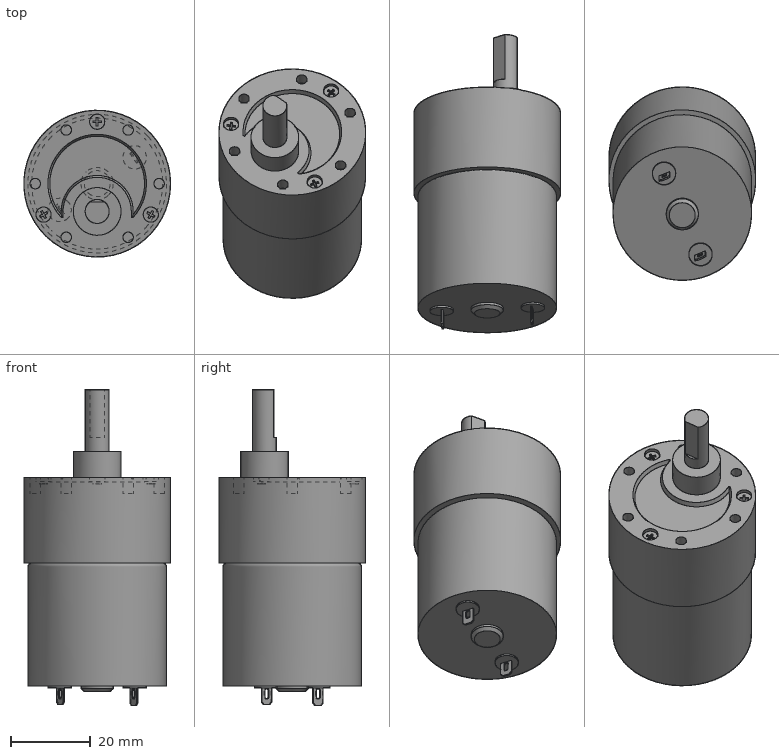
import cadquery as cq
import math

shaft_end_z = 22.0
boss_height = 6.6
gearbox_length = 21.5
motor_length = 30.8
terminal_drop = 4.9
short_terminal_drop = 4.7

gearbox_diameter = 36.8
motor_diameter = 34.8
motor_edge_fillet = 0.95
boss_diameter = 11.95
shaft_diameter = 6.0
shaft_offset_y = -7.0
flat_length = 11.95
flat_distance = 2.4

hole_circle_radius = 15.5
hole_count = 6
hole_diameter = 2.6
hole_depth = 3.95
screw_angles = (90, 210, 330)
screw_recess_diameter = 3.8
screw_recess_depth = 0.95
cross_length = 2.05
cross_width = 0.5
cross_depth = 0.7

pocket_radius = 12.35
pocket_depth = 1.1
wall_inset = 0.5
tongue_radius = 8.55
pocket_end_y = -8.5

bearing_diameter = 8.1
bearing_height = 1.4
bearing_chamfer = 0.8
terminal_angle = 35
terminal_radius = 11.25
blade_width = 2.9
blade_thickness = 0.4
blade_corner = 0.6
slot_width = 1.2
slot_top_drop = 0.6
slot_end_drop = 3.25
washer_diameter = 5.9
washer_radius = 11.5
washer_thickness = 0.5

gearbox_rear_z = -gearbox_length
motor_rear_z = gearbox_rear_z - motor_length


def cylinder(diameter, start_z, height, x=0, y=0):
    return cq.Workplane("XY", origin=(x, y, start_z)).circle(diameter / 2).extrude(height)


def polar(radius, angle):
    radians = math.radians(angle)
    return (radius * math.cos(radians), radius * math.sin(radians))


def make_motor():
    motor = cylinder(motor_diameter, motor_rear_z, motor_length)
    return motor.faces(">Z").edges().fillet(motor_edge_fillet)


def make_shaft():
    shaft = cylinder(shaft_diameter, 0, shaft_end_z, y=shaft_offset_y)
    flat_cut = (
        cq.Workplane("XY", origin=(0, shaft_offset_y + flat_distance, shaft_end_z - flat_length))
        .box(shaft_diameter, shaft_diameter, flat_length, centered=(True, False, False))
    )
    return shaft.cut(flat_cut)


def make_crescent():
    """Sloping bowl less the tongue around the boss and the blunt ends of the horns."""
    bowl = (
        cq.Workplane("XY").circle(pocket_radius)
        .workplane(offset=-pocket_depth).circle(pocket_radius - wall_inset)
        .loft(ruled=True)
    )
    draft_angle = math.degrees(math.atan(wall_inset / pocket_depth))
    tongue = (
        cq.Workplane("XY", origin=(0, shaft_offset_y, 0))
        .moveTo(tongue_radius, 0)
        .threePointArc((0, tongue_radius), (-tongue_radius, 0))
        .lineTo(-tongue_radius, -pocket_radius)
        .lineTo(tongue_radius, -pocket_radius)
        .close()
        .extrude(-pocket_depth, taper=-draft_angle)
    )
    tip_limit = (
        cq.Workplane("XY", origin=(0, pocket_end_y - pocket_radius, 0))
        .rect(2 * pocket_radius, 2 * pocket_radius)
        .extrude(-pocket_depth, taper=-draft_angle)
    )
    return bowl.cut(tongue).cut(tip_limit)


def make_screw_recess(angle):
    x, y = polar(hole_circle_radius, angle)
    recess = cylinder(screw_recess_diameter, -screw_recess_depth, screw_recess_depth, x, y)
    drive = (
        cq.Workplane("XY", origin=(x, y, -screw_recess_depth))
        .transformed(rotate=(0, 0, angle))
        .rect(cross_length, cross_width)
        .extrude(-cross_depth)
    )
    return recess.union(drive).union(drive.rotate((x, y, 0), (x, y, 1), 90))


def make_terminal(angle, drop):
    """One blade with its slot and washer, facing outward at the given angle."""
    blade = (
        cq.Workplane("XY", origin=(terminal_radius, 0, motor_rear_z))
        .rect(blade_thickness, blade_width)
        .extrude(-drop)
        .faces("<Z").edges("|X").chamfer(blade_corner)
    )
    slot_length = slot_end_drop - slot_top_drop
    slot_middle_z = motor_rear_z - (slot_top_drop + slot_end_drop) / 2
    slot = (
        cq.Workplane("YZ", origin=(terminal_radius, 0, slot_middle_z))
        .slot2D(slot_length, slot_width, 90)
        .extrude(blade_thickness, both=True)
    )
    washer = cylinder(washer_diameter, motor_rear_z, -washer_thickness, x=washer_radius)
    return blade.cut(slot).union(washer).rotate((0, 0, 0), (0, 0, 1), angle)


result = cylinder(gearbox_diameter, gearbox_rear_z, gearbox_length)
result = result.cut(make_crescent())

for hole_index in range(hole_count):
    hole_x, hole_y = polar(hole_circle_radius, hole_index * 360 / hole_count)
    result = result.cut(cylinder(hole_diameter, -hole_depth, hole_depth, hole_x, hole_y))
for screw_angle in screw_angles:
    result = result.cut(make_screw_recess(screw_angle))

result = result.union(cylinder(boss_diameter, 0, boss_height, y=shaft_offset_y))
result = result.union(make_shaft())
result = result.union(make_motor())

rear_bearing = cylinder(bearing_diameter, motor_rear_z, -bearing_height)
result = result.union(rear_bearing.faces("<Z").edges().chamfer(bearing_chamfer))
result = result.union(make_terminal(terminal_angle, terminal_drop))
result = result.union(make_terminal(terminal_angle + 180, short_terminal_drop))